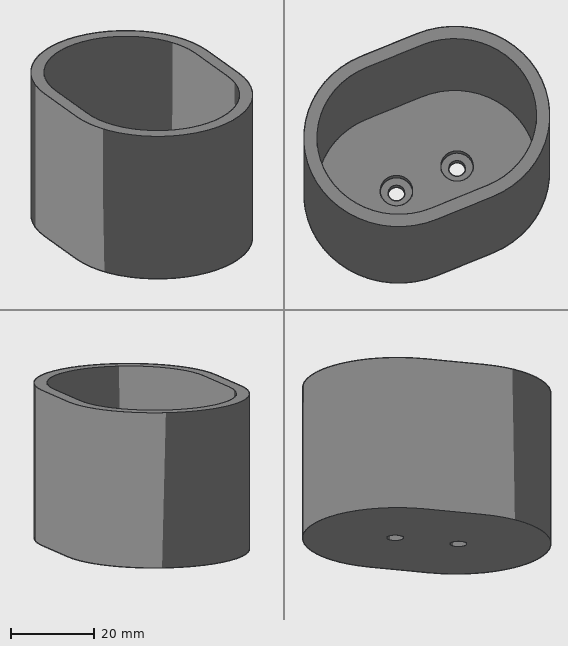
import cadquery as cq

length = 60.33
width = 45.72
height = 38.1

wall = 3.175
floor = wall

hole_count = 2
hole_spacing = 15.875
hole_diameter = 4.0
counterbore_diameter = 7.81
counterbore_depth = floor / 2


def rounded_prism(inset, base_z):
    """Round-ended prism, inset from the outer wall, from base_z up to the rim."""
    return (
        cq.Workplane("XY")
        .workplane(offset=base_z)
        .slot2D(length - 2 * inset, width - 2 * inset)
        .extrude(height - base_z)
    )


def add_screw_holes(body):
    """Cut the counterbored holes through the floor, sunk from inside the cup."""
    floor_plane = cq.Workplane("XY").workplane(offset=floor)
    return (
        body.copyWorkplane(floor_plane)
        .rarray(hole_spacing, 1, hole_count, 1)
        .cboreHole(hole_diameter, counterbore_diameter, counterbore_depth)
    )


cup = rounded_prism(0, 0).cut(rounded_prism(wall, floor))
result = add_screw_holes(cup)